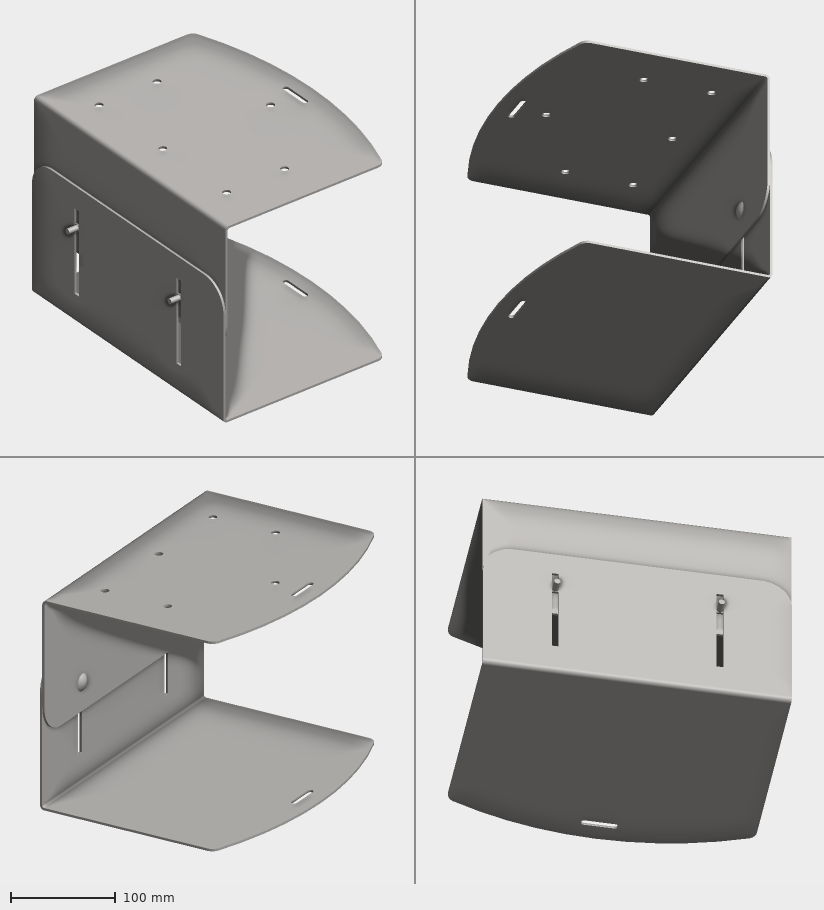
import cadquery as cq
import math

width = 300.0
height = 220.0
upper_depth = 220.0
sheet = 2.5
bend_radius = 4.8

rear_radius = 400.0
rear_corner_radius = 10.0

lower_wall_top = 153.0
upper_wall_drop = 142.5
wall_corner_radius = 30.0

handle_length = 36.0
handle_width = 6.0
handle_inset = 20.0
hole_diameter = 8.5
hole_pitch = 100.0
front_hole_inset = 180.0
side_hole_inset = 110.0
rear_hole_inset = 50.0

bolt_spacing = 160.0
bolt_height = 107.5
bolt_diameter = 6.0
bolt_reach = 11.0
neck_length = 4.5
head_diameter = 18.0
head_height = 3.5
adjust_slot_width = 6.5
adjust_slot_bottom = 32.0
adjust_slot_top = 127.8

rear_tip = upper_depth
bolt_positions = (-bolt_spacing / 2, bolt_spacing / 2)


def plate_blank(wall_face):
    """Vertical prism with the plan outline of a shell: straight front, curved rear."""
    half = width / 2
    rear_side = rear_tip - rear_radius + math.sqrt(rear_radius**2 - half**2)
    return (
        cq.Workplane("XY")
        .moveTo(-half, wall_face)
        .lineTo(half, wall_face)
        .lineTo(half, rear_side)
        .threePointArc((0, rear_tip), (-half, rear_side))
        .close()
        .extrude(height)
        .edges("|Z").edges(">Y")
        .fillet(rear_corner_radius)
    )


def wall_blank(wall_length):
    """Prism along Y with the wall outline, rounded at the two top corners."""
    return (
        cq.Workplane("XZ")
        .rect(width, wall_length)
        .extrude(upper_depth, both=True)
        .translate((0, 0, wall_length / 2))
        .edges("|Y and >Z")
        .fillet(wall_corner_radius)
    )


def corner_block(wall_face, floor, radius):
    """Block from a front face and a floor, rounded along the edge where they meet."""
    return (
        cq.Workplane("XY")
        .box(width, rear_tip - wall_face, height, centered=(True, False, False))
        .translate((0, wall_face, floor))
        .edges("|X and <Y and <Z")
        .fillet(radius)
    )


def bent_sheet(wall_face, wall_length):
    """L-shaped sheet with its plate at z = 0 and its wall rising from the front."""
    outer = corner_block(wall_face, 0, bend_radius)
    inner = corner_block(wall_face + sheet, sheet, bend_radius - sheet)
    handle = (
        cq.Workplane("XY")
        .center(0, rear_tip - handle_inset)
        .slot2D(handle_length, handle_width)
        .extrude(sheet)
    )
    sheet_body = outer.cut(inner).intersect(plate_blank(wall_face))
    return sheet_body.intersect(wall_blank(wall_length)).cut(handle)


def lower_shell():
    """Outer shell: plate at the bottom, wall with the two adjustment slots."""
    slot_height = adjust_slot_top - adjust_slot_bottom
    slots = (
        cq.Workplane("XZ")
        .pushPoints([(x, adjust_slot_bottom + slot_height / 2) for x in bolt_positions])
        .rect(adjust_slot_width, slot_height)
        .extrude(sheet)
    )
    return bent_sheet(-sheet, lower_wall_top).cut(slots)


def upper_shell():
    """Inner shell: plate at the top with six holes, wall hanging behind the lower one."""
    shell = bent_sheet(0, upper_wall_drop).mirror("XY").translate((0, 0, height))
    hole_places = [(0, rear_tip - rear_hole_inset), (0, rear_tip - front_hole_inset)]
    for x in (-hole_pitch, hole_pitch):
        hole_places.append((x, rear_tip - side_hole_inset))
        hole_places.append((x, rear_tip - front_hole_inset))
    holes = (
        cq.Workplane("XY", origin=(0, 0, height - sheet))
        .pushPoints(hole_places)
        .circle(hole_diameter / 2)
        .extrude(sheet)
    )
    return shell.cut(holes)


def bolt(x):
    """Square-necked, dome-headed bolt pointing forward, its head against the inside of the upper wall."""
    head_radius = head_diameter / 2
    dome_radius = (head_radius**2 + head_height**2) / (2 * head_height)
    mid_radius = head_radius / 2
    mid_height = head_height - dome_radius + math.sqrt(dome_radius**2 - mid_radius**2)
    head = (
        cq.Workplane("XY")
        .moveTo(0, sheet)
        .lineTo(head_radius, sheet)
        .threePointArc((mid_radius, sheet + mid_height), (0, sheet + head_height))
        .close()
        .revolve(360, (0, 0), (0, 1))
    )
    shank = (
        cq.Workplane("XZ", origin=(0, sheet, 0))
        .circle(bolt_diameter / 2)
        .extrude(2 * sheet + bolt_reach)
    )
    neck = (
        cq.Workplane("XZ", origin=(0, sheet, 0))
        .rect(adjust_slot_width, adjust_slot_width)
        .extrude(neck_length)
    )
    return head.union(neck).union(shank).translate((x, 0, bolt_height))


result = lower_shell().union(upper_shell())
for bolt_x in bolt_positions:
    result = result.union(bolt(bolt_x))